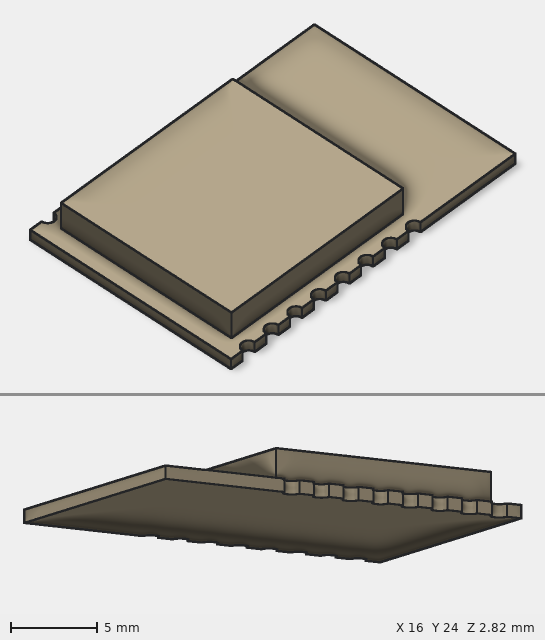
import cadquery as cq

board_width = 16.0
board_length = 24.0
board_thickness = 0.8

shield_width = 13.58
shield_length = 14.5
shield_height = 2.02
shield_front_margin = 1.32

contact_count = 8
contact_pitch = board_length / 12
contact_radius = 0.5
first_contact_offset = 1.5

front_edge = -board_length / 2


def make_board():
    return cq.Workplane("XY").box(
        board_width, board_length, board_thickness, centered=(True, True, False)
    )


def make_shield():
    shield_center_y = front_edge + shield_front_margin + shield_length / 2
    return (
        cq.Workplane("XY", origin=(0, shield_center_y, board_thickness))
        .rect(shield_width, shield_length)
        .extrude(shield_height)
    )


def make_contact_cutters():
    centers = [
        (side * board_width / 2, front_edge + first_contact_offset + index * contact_pitch)
        for side in (-1, 1)
        for index in range(contact_count)
    ]
    return (
        cq.Workplane("XY")
        .pushPoints(centers)
        .circle(contact_radius)
        .extrude(board_thickness)
    )


result = make_board().cut(make_contact_cutters()).union(make_shield())